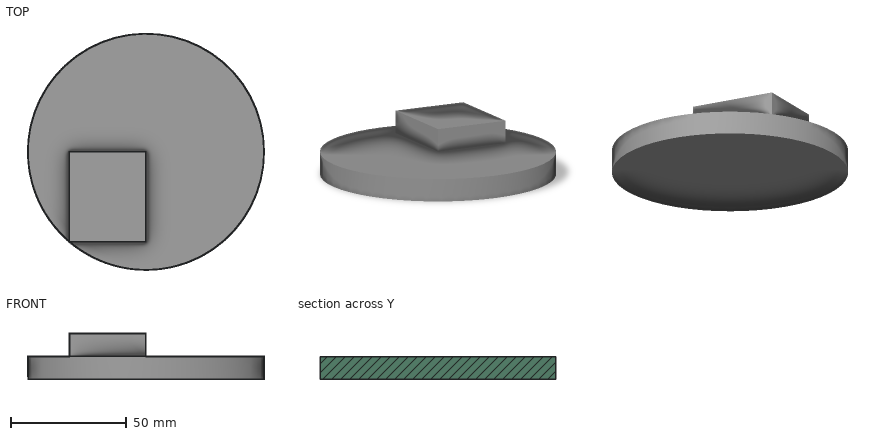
import cadquery as cq
import math

disc_diameter = 102.7
total_height = 20.0
block_width = 33.3

disc_thickness = total_height / 2
block_height = total_height - disc_thickness

disc_radius = disc_diameter / 2
block_length = math.sqrt(disc_radius**2 - block_width**2)

disc = cq.Workplane("XY").circle(disc_radius).extrude(disc_thickness)

block = (
    cq.Workplane("XY")
    .workplane(offset=disc_thickness)
    .rect(-block_width, -block_length, centered=False)
    .extrude(block_height)
)

result = disc.union(block)